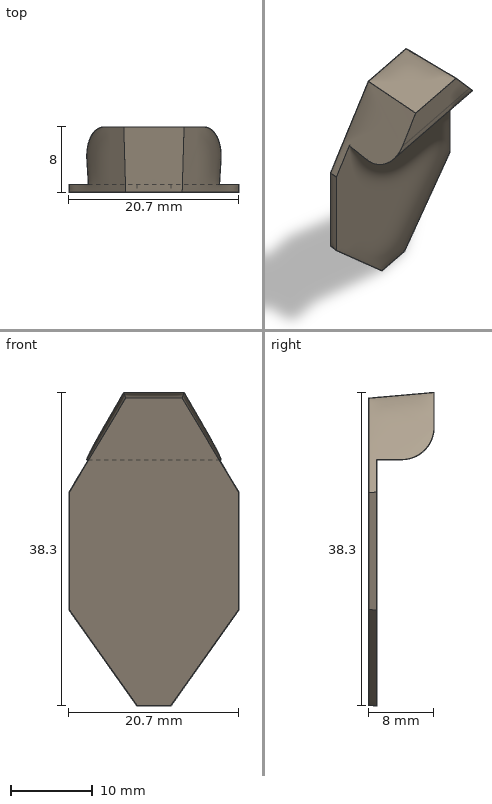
import cadquery as cq
import math

height = 38.3
depth = 8.0
plate_width = 20.72
plate_thickness = 1.0
draft_angle = 5.0
top_half_width = 3.45
rear_top_half_width = 3.68
bottom_half_width = 2.05
upper_shoulder = 26.05
lower_shoulder = 11.8
shoulder_spread = 0.7
block_bottom = 30.05
block_radius = 4.0

half_width = plate_width / 2
draft = math.tan(math.radians(draft_angle))
front_top = height - depth * draft
front_bottom = plate_thickness * draft
rear_bottom = front_bottom - depth * draft


def octagon(y, top, top_half, upper, lower, bottom):
    """Closed eight-sided outline, symmetric about X = 0, in the plane at depth y."""
    right_side = [
        (bottom_half_width, bottom),
        (half_width, lower),
        (half_width, upper),
        (top_half, top),
    ]
    left_side = [(-x, z) for x, z in reversed(right_side)]
    points = [cq.Vector(x, y, z) for x, z in right_side + left_side]
    return cq.Wire.makePolygon(points, close=True)


def drafted_body():
    """Octagonal prism that widens from the front face toward +Y."""
    front = octagon(0, front_top, top_half_width, upper_shoulder, lower_shoulder, front_bottom)
    rear = octagon(depth, height, rear_top_half_width, upper_shoulder + shoulder_spread,
                   lower_shoulder - shoulder_spread, rear_bottom)
    return cq.Workplane(obj=cq.Solid.makeLoft([front, rear], True))


def side_profile():
    """Thin plate with a deep, round-cornered block at the top, swept across the width."""
    return (
        cq.Workplane("YZ", origin=(-half_width, 0, 0))
        .lineTo(plate_thickness, 0)
        .lineTo(plate_thickness, block_bottom)
        .lineTo(depth - block_radius, block_bottom)
        .radiusArc((depth, block_bottom + block_radius), -block_radius)
        .lineTo(depth, height)
        .lineTo(0, height)
        .close()
        .extrude(plate_width)
    )


result = drafted_body().intersect(side_profile())